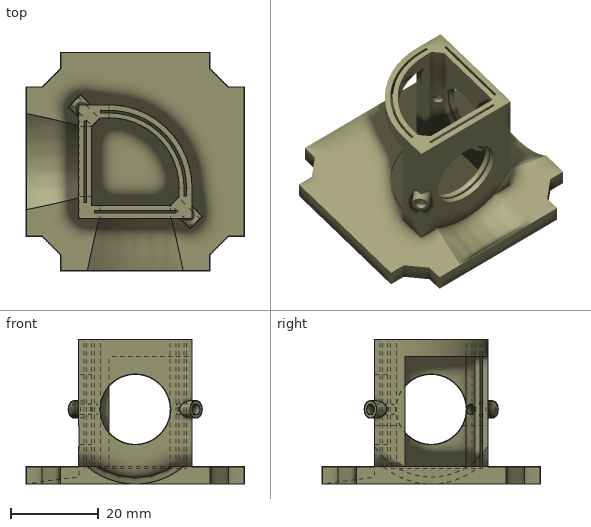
import cadquery as cq
import math

plate_size = 49.8
plate_thickness = 4.0
plate_half = plate_size / 2
corner_inner = 17.05
corner_outer = 21.2

total_height = 33.0
housing_half = 12.95
arc_center = -6.0
wall = 2.95
inner_half = housing_half - wall
inner_chamfer = 2.1
window_lintel = 4.0
window_top = total_height - window_lintel

port_diameter = 16.0
port_height = 17.05
scoop_wall_radius = 15.45
scoop_edge_radius = port_height
scoop_top = 13.4
scoop_shift = 0.1

slot_width = 0.6
slot_offset = 1.55
slot_length = 18.6
slot_arc_start = -7.85
slot_floor_depth = 0.45
slot_bottom = plate_thickness - slot_floor_depth

peg_diameter = 4.0
peg_bore = 2.4
peg_tip = 19.6
peg_root = 14.95
bore_root = 10.95


def block(x_min, x_max, y_min, y_max, z_min, z_max):
    """Box given by its limits along each axis."""
    return cq.Workplane("XY").box(
        x_max - x_min, y_max - y_min, z_max - z_min, centered=False
    ).translate((x_min, y_min, z_min))


def rounded_block(low, high, z_min, z_max):
    """Prism from low to high in X and Y, with its +X+Y corner rounded."""
    arc_mid = arc_center + (high - arc_center) * math.sqrt(0.5)
    return (
        cq.Workplane("XY", origin=(0, 0, z_min))
        .moveTo(low, low)
        .lineTo(high, low)
        .lineTo(high, arc_center)
        .threePointArc((arc_mid, arc_mid), (arc_center, high))
        .lineTo(low, high)
        .close()
        .extrude(z_max - z_min)
    )


def diagonal_rod(diameter, start, end, direction):
    """Horizontal cylinder at port height, running outward along direction."""
    origin = direction * start + cq.Vector(0, 0, port_height)
    return cq.Workplane(cq.Solid.makeCylinder(diameter / 2, end - start, origin, direction))


def make_plate():
    plate = cq.Workplane("XY").rect(plate_size, plate_size).extrude(plate_thickness)
    for quarter in range(4):
        notch = (
            cq.Workplane("XY")
            .polyline([
                (corner_inner, plate_half),
                (corner_inner, corner_outer),
                (corner_outer, corner_inner),
                (plate_half, corner_inner),
                (plate_half, plate_half),
            ])
            .close()
            .extrude(plate_thickness)
        )
        plate = plate.cut(notch.rotate((0, 0, 0), (0, 0, 1), 90 * quarter))
    return plate


def make_scoop(direction, shift):
    """Conical cutter widening outward, moved inward by shift."""
    cone = cq.Solid.makeCone(
        scoop_wall_radius,
        scoop_edge_radius,
        plate_half - housing_half,
        direction * (housing_half - shift) + cq.Vector(0, 0, port_height),
        direction,
    )
    lower_part = block(-plate_half, plate_half, -plate_half, plate_half, 0, scoop_top)
    return cq.Workplane(cone).intersect(lower_part)


def make_cavity():
    """Inner space, chamfered at the two ends of its rounded side."""
    cavity = rounded_block(-inner_half, inner_half, plate_thickness, total_height)
    for x, y in ((-inner_half, inner_half), (inner_half, -inner_half)):
        corner = cq.selectors.NearestToPointSelector((x, y, (plate_thickness + total_height) / 2))
        cavity = cavity.edges("|Z").edges(corner).chamfer(inner_chamfer)
    return cavity


def make_slots():
    half_width = slot_width / 2
    middle = housing_half - slot_offset
    straight_x = block(
        -slot_length / 2, slot_length / 2,
        -middle - half_width, -middle + half_width,
        slot_bottom, total_height,
    )
    straight_y = block(
        -middle - half_width, -middle + half_width,
        -slot_length / 2, slot_length / 2,
        slot_bottom, total_height,
    )
    curved = (
        rounded_block(slot_arc_start, middle + half_width, slot_bottom, total_height)
        .cut(rounded_block(slot_arc_start, middle - half_width, slot_bottom, total_height))
    )
    return [straight_x, straight_y, curved]


housing = rounded_block(-housing_half, housing_half, 0, total_height)
toward_minus_x = cq.Vector(-1, 0, 0)
toward_minus_y = cq.Vector(0, -1, 0)
result = make_plate().union(housing)
result = result.cut(make_scoop(toward_minus_x, scoop_shift))
result = result.cut(make_scoop(toward_minus_y, 0))

peg_directions = [cq.Vector(1, -1, 0).normalized(), cq.Vector(-1, 1, 0).normalized()]
for direction in peg_directions:
    result = result.union(diagonal_rod(peg_diameter, peg_root, peg_tip, direction))
result = result.cut(make_cavity())
for direction in peg_directions:
    result = result.cut(diagonal_rod(peg_bore, bore_root, peg_tip, direction))

window = block(arc_center, housing_half, arc_center, housing_half, plate_thickness, window_top)
result = result.cut(window)

for direction in (toward_minus_x, toward_minus_y):
    port = cq.Solid.makeCylinder(
        port_diameter / 2, housing_half, cq.Vector(0, 0, port_height), direction
    )
    result = result.cut(cq.Workplane(port))

for slot in make_slots():
    result = result.cut(slot)